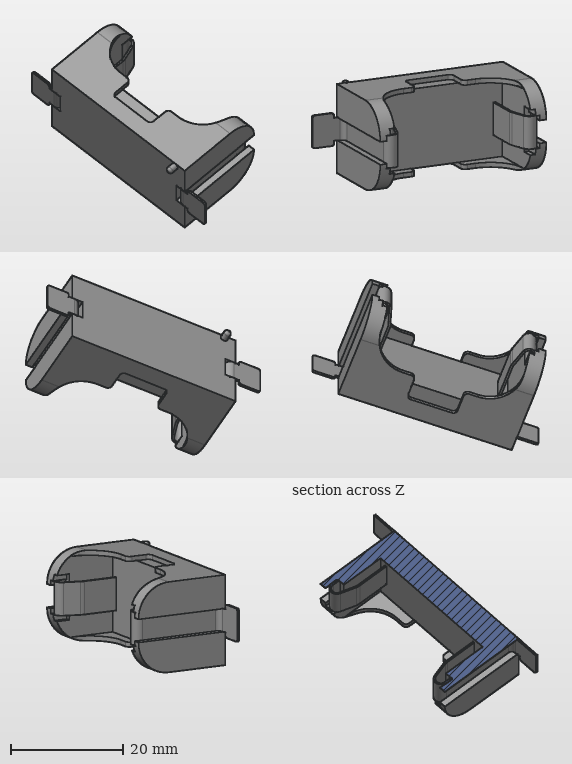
import cadquery as cq
import math


length = 32.85
height = 17.8
width = 16.5
corner_radius = 6.15
side_wall = 0.9
end_wall = 3.0
floor_thickness = 6.03

scoop_radius = 6.33
scoop_floor = 7.95
notch_length = 9.35
notch_floor = 3.38
notch_radius = 0.8

slot_width = 4.25
slot_depth = 2.05
recess_width = 8.4
recess_floor = 14.88

pin_diameter = 1.33
pin_length = 19.6 - height
pin_tip_radius = 0.5
pin_x = 14.05

clip_span = 42.75
strip = 0.4
pad_length = 4.28
pad_width = 6.05
pad_corner = 0.5
strip_face = 1.33
foot_inner_radius = 0.9
arch_radius = 1.35
arch_top = height - 0.13
blade_slope = 17.0
blade_slope_length = 3.1
knee_radius = 2.55
blade_gap = 0.43

half_length = length / 2
half_width = width / 2


def make_shell():
    """Block with two rounded long edges, hollowed from the open side."""
    block = (
        cq.Workplane("XY")
        .box(length, height, width, centered=(True, False, True))
        .edges("|X and >Y")
        .fillet(corner_radius)
    )
    cavity = cq.Workplane("XY").box(
        length - 2 * end_wall, height, width - 2 * side_wall, centered=(True, False, True)
    )
    return block.cut(cavity.translate((0, floor_thickness, 0)))


def make_scoop():
    """Cut through both side walls between the end walls, rounded at its ends."""
    return (
        cq.Workplane("XY")
        .box(length - 2 * end_wall, height, width, centered=(True, False, True))
        .edges("|Z and <Y")
        .fillet(scoop_radius)
        .translate((0, scoop_floor, 0))
    )


def make_notches():
    """Two cuts, one in each side wall, as deep as the wall is thick."""
    half_notch = notch_length / 2
    lip_half = half_notch + notch_radius
    lip_start = scoop_floor - notch_radius
    bottom_start = notch_floor + notch_radius
    bottom_half = half_notch - notch_radius
    outline = (
        cq.Workplane("XY", origin=(0, 0, half_width - side_wall))
        .moveTo(-lip_half, scoop_floor)
        .radiusArc((-half_notch, lip_start), notch_radius)
        .lineTo(-half_notch, bottom_start)
        .radiusArc((-bottom_half, notch_floor), -notch_radius)
        .lineTo(bottom_half, notch_floor)
        .radiusArc((half_notch, bottom_start), -notch_radius)
        .lineTo(half_notch, lip_start)
        .radiusArc((lip_half, scoop_floor), notch_radius)
        .close()
    )
    notch = outline.extrude(side_wall)
    return notch.union(notch.mirror("XY"))


def make_clip_opening():
    """Opening in the -X end wall: a slot, widened in two steps around the top of the clip."""
    slot = cq.Workplane("XY").box(slot_depth, height, slot_width, centered=(False, False, True))
    recess = cq.Workplane("XY").box(
        end_wall - slot_depth, height, recess_width, centered=(False, False, True)
    )
    blade_step = cq.Workplane("XY").box(
        slot_depth - strip_face, height, pad_width, centered=(False, False, True)
    )
    opening = slot.union(recess.translate((slot_depth, recess_floor, 0))).union(
        blade_step.translate((strip_face, recess_floor, 0))
    )
    return opening.translate((-half_length, 0, 0))


def make_pin():
    """Round-tipped pin, level with the top side of the housing."""
    pin_z = half_width - pin_diameter / 2
    return (
        cq.Workplane("XZ", origin=(pin_x, 0, pin_z))
        .circle(pin_diameter / 2)
        .extrude(pin_length)
        .faces("<Y")
        .edges()
        .fillet(pin_tip_radius)
    )


def make_housing():
    opening = make_clip_opening()
    return (
        make_shell()
        .cut(make_scoop())
        .cut(make_notches())
        .cut(opening)
        .cut(opening.mirror("YZ"))
        .union(make_pin())
    )


def polar(center, radius, degrees):
    angle = math.radians(degrees)
    return (center[0] + radius * math.cos(angle), center[1] + radius * math.sin(angle))


def make_strip():
    """Bent strip of the -X clip, as wide as its pad along its whole length."""
    pad_end = -clip_span / 2
    upright = -half_length + strip_face
    foot_outer_radius = foot_inner_radius + strip
    arch_inner_radius = arch_radius - strip
    knee_inner_radius = knee_radius - strip
    foot = (upright - foot_inner_radius, foot_outer_radius)
    arch = (upright + arch_radius, arch_top - arch_radius)

    slope = math.radians(blade_slope)
    radius_step = arch_radius - knee_radius
    knee = (
        arch[0] + radius_step * math.cos(slope) + blade_slope_length * math.sin(slope),
        arch[1] + radius_step * math.sin(slope) - blade_slope_length * math.cos(slope),
    )
    arch_middle = (180 + blade_slope) / 2
    knee_middle = blade_slope / 2
    blade_end = floor_thickness + blade_gap

    return (
        cq.Workplane("XY")
        .moveTo(pad_end, 0)
        .lineTo(foot[0], 0)
        .threePointArc(polar(foot, foot_outer_radius, -45), polar(foot, foot_outer_radius, 0))
        .lineTo(*polar(arch, arch_inner_radius, 180))
        .threePointArc(
            polar(arch, arch_inner_radius, arch_middle), polar(arch, arch_inner_radius, blade_slope)
        )
        .lineTo(*polar(knee, knee_inner_radius, blade_slope))
        .threePointArc(
            polar(knee, knee_inner_radius, knee_middle), polar(knee, knee_inner_radius, 0)
        )
        .lineTo(knee[0] + knee_inner_radius, blade_end)
        .lineTo(knee[0] + knee_radius, blade_end)
        .lineTo(*polar(knee, knee_radius, 0))
        .threePointArc(polar(knee, knee_radius, knee_middle), polar(knee, knee_radius, blade_slope))
        .lineTo(*polar(arch, arch_radius, blade_slope))
        .threePointArc(polar(arch, arch_radius, arch_middle), polar(arch, arch_radius, 180))
        .lineTo(*polar(foot, foot_inner_radius, 0))
        .threePointArc(polar(foot, foot_inner_radius, -45), polar(foot, foot_inner_radius, -90))
        .lineTo(pad_end, strip)
        .close()
        .extrude(pad_width / 2, both=True)
    )


def make_clip():
    """The -X clip: wide pad and blade, joined by a neck that fits the slot."""
    neck_start = -clip_span / 2 + pad_length
    neck_end = -half_length + slot_depth
    side_trim = cq.Workplane("XY").box(
        neck_end - neck_start, recess_floor, (pad_width - slot_width) / 2, centered=False
    )
    side_trim = side_trim.translate((neck_start, 0, slot_width / 2))
    clip = make_strip().cut(side_trim).cut(side_trim.mirror("XY"))
    pad_corners = cq.selectors.BoxSelector(
        (-clip_span, -strip, -pad_width), (neck_start + strip, 2 * strip, pad_width)
    )
    neck_corners = cq.selectors.BoxSelector(
        (neck_start - strip, -strip, -slot_width / 2 - strip),
        (neck_start + strip, 2 * strip, slot_width / 2 + strip),
    )
    return clip.edges("|Y").edges(pad_corners - neck_corners).fillet(pad_corner)


housing = make_housing()
clips = []
for mirrored in (False, True):
    clip = make_clip()
    if mirrored:
        clip = clip.mirror("YZ")
    clips.append(clip.val())

result = cq.Compound.makeCompound([housing.val(), *clips])